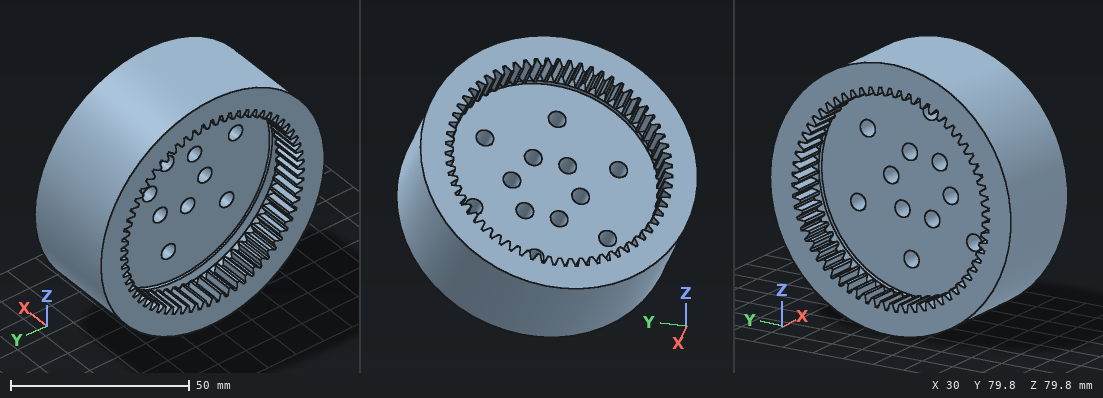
import cadquery as cq
import math

outer_radius = 39.9
ring_width = 30.0
front_face = -ring_width / 2
back_face = ring_width / 2

tooth_module = 1.0
tooth_count = 63
pressure_angle = math.radians(20)
tooth_width = 10.0
first_groove_angle = math.radians(3.9)
pitch_radius = tooth_module * tooth_count / 2
tip_radius = pitch_radius - tooth_module
root_depth_factor = 1.25
root_radius = pitch_radius + root_depth_factor * tooth_module

recess_radius = 35.95
carrier_bore_radius = 33.95
cone_length = 1.1
cone_end_depth = 16.05
cone_end = front_face + cone_end_depth
cone_start = cone_end - cone_length

carrier_front = cone_end
carrier_clearance = 0.95
carrier_radius = carrier_bore_radius - carrier_clearance
carrier_hole_diameter = 4.99
holes_per_circle = 6
hole_pitch_angle = 2 * math.pi / holes_per_circle
inner_hole_circle_radius = 10.0
outer_hole_circle_radius = 22.45
inner_hole_angle = math.radians(8.1)
outer_hole_angle = inner_hole_angle + hole_pitch_angle / 2


def polar(radius, angle):
    """Point in the YZ plane at an angle measured from +Y toward +Z."""
    return (radius * math.cos(angle), radius * math.sin(angle))


def cylinder(radius, start, end):
    """Solid cylinder along the X axis between two X positions."""
    return cq.Workplane("YZ").workplane(offset=start).circle(radius).extrude(end - start)


def groove_half_angle(radius):
    """Half the angle that a straight-flanked groove spans at a radius; it narrows outward."""
    half_angle_at_pitch = math.pi / (2 * tooth_count)
    narrowing = (radius - pitch_radius) * math.tan(pressure_angle) / pitch_radius
    return half_angle_at_pitch - narrowing


def toothed_opening():
    """Space inside the teeth: the tip circle with a groove between every two teeth."""
    tip_half = groove_half_angle(tip_radius)
    root_half = groove_half_angle(root_radius)
    outline = []
    for index in range(tooth_count):
        middle = first_groove_angle + index * 2 * math.pi / tooth_count
        outline.append(polar(tip_radius, middle - tip_half))
        outline.append(polar(root_radius, middle - root_half))
        outline.append(polar(root_radius, middle + root_half))
        outline.append(polar(tip_radius, middle + tip_half))
    sketch = cq.Workplane("YZ").workplane(offset=front_face).polyline(outline).close()
    return sketch.extrude(tooth_width)


def rear_bore():
    """Stepped space behind the teeth: recess, cone and carrier bore, turned about X."""
    recess_start = front_face + tooth_width
    half_profile = [
        (recess_start, 0),
        (recess_start, recess_radius),
        (cone_start, recess_radius),
        (cone_end, carrier_bore_radius),
        (back_face, carrier_bore_radius),
        (back_face, 0),
    ]
    return cq.Workplane("XY").polyline(half_profile).close().revolve(360, (0, 0, 0), (1, 0, 0))


def make_ring_gear():
    """Plain outer cylinder, toothed at the front and bored for the carrier at the back."""
    blank = cylinder(outer_radius, front_face, back_face)
    return blank.cut(toothed_opening()).cut(rear_bore())


def hole_circle(circle_radius, first_angle):
    """Cutters for one circle of evenly spaced carrier holes."""
    centres = [polar(circle_radius, first_angle + i * hole_pitch_angle) for i in range(holes_per_circle)]
    sketch = cq.Workplane("YZ").workplane(offset=carrier_front).pushPoints(centres)
    return sketch.circle(carrier_hole_diameter / 2).extrude(back_face - carrier_front)


def make_carrier():
    """Disc flush with the back of the ring, with two staggered circles of through holes."""
    disc = cylinder(carrier_radius, carrier_front, back_face)
    disc = disc.cut(hole_circle(inner_hole_circle_radius, inner_hole_angle))
    return disc.cut(hole_circle(outer_hole_circle_radius, outer_hole_angle))


ring_gear = make_ring_gear()
carrier = make_carrier()

result = cq.Compound.makeCompound([ring_gear.val(), carrier.val()])